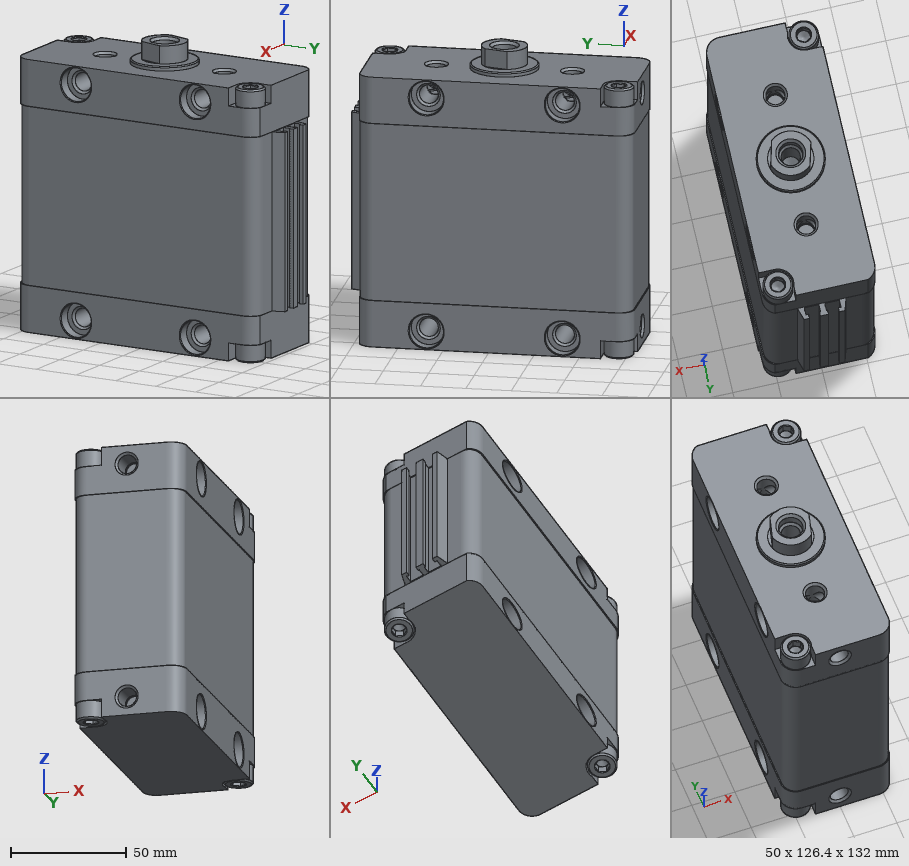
import cadquery as cq
import math

TOTAL_HEIGHT = 132.0
CAP_HEIGHT = 21.0
BARREL_HEIGHT = 80.0
CAP_WIDTH = 50.0
CAP_REACH_Y = 60.7
RAIL_TOP_Y = 65.7
BARREL_INSET = 0.5
CORNER_RADIUS = 7.0

CAP_LENGTH = 2 * CAP_REACH_Y
BARREL_WIDTH = CAP_WIDTH - 2 * BARREL_INSET
BARREL_REACH_Y = CAP_REACH_Y - BARREL_INSET
CAP_BACK_Y = BARREL_REACH_Y
BARREL_TOP = CAP_HEIGHT + BARREL_HEIGHT
BODY_TOP = BARREL_TOP + CAP_HEIGHT

ROD_DIAMETER = 20.0
ROD_FLATS_WIDTH = 17.0
ROD_FLATS_ANGLE = -15.0
ROD_BORE_DIAMETER = 10.5
ROD_BORE_MOUTH = 13.0
ROD_BORE_DEPTH = 4.8
ROD_TAP_DEPTH = 19.8
COLLAR_DIAMETER = 30.0
COLLAR_HEIGHT = 2.0
COLLAR_CHAMFER = 0.5

TAP_DIAMETER = 8.3
TAP_MOUTH = 10.4
TAP_DEPTH = 12.5
TAP_CORE_DIAMETER = 7.5
TAP_CORE_DEPTH = 13.2
HOLE_SPACING_Y = 59.9
HOLE_INSET_Z = 8.3
COUNTERBORE_DIAMETER = 15.0
COUNTERBORE_DEPTH = 5.5
COUNTERBORE_CHAMFER = 0.4

HEAD_DIAMETER = 13.0
HEAD_TOP_DIAMETER = 11.5
HEAD_HEIGHT = 8.0
SOCKET_ACROSS_FLATS = 6.0
SOCKET_DEPTH = 4.0
SOCKET_TURN = 30.0
POCKET_RADIUS = 7.0
POCKET_WALL_X = 6.6
SCREW_X = CAP_WIDTH / 2 - CORNER_RADIUS
SCREW_Y = CAP_REACH_Y - CORNER_RADIUS
DRILL_POINT_ANGLE = 118.0

RAIL_FLOOR_RISE = 0.4
RAIL_LEG_BASE_X = 10.8
RAIL_LEG_TOP_X = 9.1
RAIL_LEG_INNER_X = 7.8
RAIL_LIP_X = 6.6
RAIL_LIP_HEIGHT = 2.0
RAIL_TEE_HEAD_X = 1.8
RAIL_TEE_NECK_X = 1.3


def drill_point_height(diameter):
    """Height of the cone that a drill leaves at the end of a blind hole."""
    return diameter / 2 / math.tan(math.radians(DRILL_POINT_ANGLE / 2))


def cylinder(diameter, height, bottom=0.0):
    """Upright cylinder on the Z axis."""
    return cq.Workplane("XY").workplane(offset=bottom).circle(diameter / 2).extrude(height)


def rounded_block(width, length, radius, height):
    """Upright block centred on the Z axis with rounded vertical edges."""
    return cq.Workplane("XY").rect(width, length).extrude(height).edges("|Z").fillet(radius)


def countersink(mouth, hole):
    """45 degree cone from a mouth at Z = 0 down to the hole diameter."""
    depth = (mouth - hole) / 2
    return cq.Workplane(cq.Solid.makeCone(mouth / 2, hole / 2, depth, dir=cq.Vector(0, 0, -1)))


def tapped_hole():
    """Blind hole going down from Z = 0: chamfered mouth, thread and a narrower core end."""
    thread = cylinder(TAP_DIAMETER, TAP_DEPTH, -TAP_DEPTH)
    core = cylinder(TAP_CORE_DIAMETER, TAP_CORE_DEPTH, -TAP_CORE_DEPTH)
    return thread.union(core).union(countersink(TAP_MOUTH, TAP_DIAMETER))


def mounting_hole():
    """Through hole along +X from X = 0, counterbored and chamfered at both ends."""
    half_width = CAP_WIDTH / 2
    floor = half_width - COUNTERBORE_DEPTH
    profile = [
        (0, 0),
        (TAP_DIAMETER / 2, 0),
        (TAP_DIAMETER / 2, floor - (TAP_MOUTH - TAP_DIAMETER) / 2),
        (TAP_MOUTH / 2, floor),
        (COUNTERBORE_DIAMETER / 2, floor),
        (COUNTERBORE_DIAMETER / 2, half_width - COUNTERBORE_CHAMFER),
        (COUNTERBORE_DIAMETER / 2 + COUNTERBORE_CHAMFER, half_width),
        (0, half_width),
    ]
    half = cq.Workplane("XZ").polyline(profile).close().revolve(360, (0, 0), (0, 1))
    return half.union(half.mirror("XY")).rotate((0, 0, 0), (0, 1, 0), 90)


def screw_pocket():
    """Pocket below Z = 0 for the +X +Y corner, open to both sides of the corner."""
    reach = 2 * CORNER_RADIUS
    pocket = cylinder(2 * POCKET_RADIUS, HEAD_HEIGHT, -HEAD_HEIGHT)
    to_back = cq.Workplane("XY").box(reach, reach, HEAD_HEIGHT, centered=False)
    to_back = to_back.translate((-POCKET_WALL_X, 0, -HEAD_HEIGHT))
    to_side = cq.Workplane("XY").box(reach, reach, HEAD_HEIGHT, centered=False)
    to_side = to_side.translate((0, -POCKET_RADIUS, -HEAD_HEIGHT))
    return pocket.union(to_back).union(to_side)


def screw_head():
    """Socket head below Z = 0 with a hexagon recess that ends in a drill point."""
    head = cylinder(HEAD_DIAMETER, HEAD_HEIGHT, -HEAD_HEIGHT)
    head = head.faces(">Z").chamfer((HEAD_DIAMETER - HEAD_TOP_DIAMETER) / 2)
    corner_diameter = SOCKET_ACROSS_FLATS / math.cos(math.pi / 6)
    socket = cq.Workplane("XY").polygon(6, corner_diameter).extrude(-SOCKET_DEPTH)
    socket = socket.rotate((0, 0, 0), (0, 0, 1), SOCKET_TURN)
    socket = socket.union(countersink(corner_diameter, SOCKET_ACROSS_FLATS))
    point = cq.Solid.makeCone(
        SOCKET_ACROSS_FLATS / 2, 0, drill_point_height(SOCKET_ACROSS_FLATS), dir=cq.Vector(0, 0, -1)
    ).translate(cq.Vector(0, 0, -SOCKET_DEPTH))
    return head.cut(socket).cut(cq.Workplane(point))


def cap():
    """End cap with its outer face at Z = CAP_HEIGHT, screw heads included."""
    body = rounded_block(CAP_WIDTH, CAP_LENGTH, CORNER_RADIUS, CAP_HEIGHT)
    trim = cq.Workplane("XY").box(CAP_WIDTH, CAP_LENGTH, CAP_HEIGHT, centered=(True, False, False))
    body = body.cut(trim.translate((0, CAP_BACK_Y, 0)))

    hole_z = CAP_HEIGHT - HOLE_INSET_Z
    for y in (-HOLE_SPACING_Y / 2, HOLE_SPACING_Y / 2):
        body = body.cut(mounting_hole().translate((0, y, hole_z)))

    air_port = tapped_hole().rotate((0, 0, 0), (1, 0, 0), 90)
    body = body.cut(air_port.translate((0, -CAP_REACH_Y, hole_z)))

    pocket = screw_pocket().translate((SCREW_X, SCREW_Y, CAP_HEIGHT))
    head = screw_head().translate((SCREW_X, SCREW_Y, CAP_HEIGHT))
    for turn in (0, 180):
        body = body.cut(pocket.rotate((0, 0, 0), (0, 0, 1), turn))
        body = body.union(head.rotate((0, 0, 0), (0, 0, 1), turn))
    return body


def bottom_cap():
    """Lower cap with its outer face at Z = 0."""
    return cap().mirror("XY").translate((0, 0, CAP_HEIGHT))


def top_cap():
    """Upper cap with two tapped holes on top and the collar that guides the rod."""
    body = cap().translate((0, 0, BARREL_TOP))
    for y in (-HOLE_SPACING_Y / 2, HOLE_SPACING_Y / 2):
        body = body.cut(tapped_hole().translate((0, y, BODY_TOP)))
    collar = cylinder(COLLAR_DIAMETER, COLLAR_HEIGHT, BODY_TOP).faces(">Z").chamfer(COLLAR_CHAMFER)
    return body.union(collar).cut(cylinder(ROD_DIAMETER, TOTAL_HEIGHT))


def barrel():
    """Barrel between the caps with the sensor rail along its +Y face."""
    radius = CORNER_RADIUS - BARREL_INSET
    body = rounded_block(BARREL_WIDTH, 2 * BARREL_REACH_Y, radius, BARREL_HEIGHT)
    lip_y = RAIL_TOP_Y - RAIL_LIP_HEIGHT
    root_y = BARREL_REACH_Y - BARREL_INSET
    tee = [
        (-RAIL_TEE_HEAD_X, RAIL_TOP_Y),
        (RAIL_TEE_HEAD_X, RAIL_TOP_Y),
        (RAIL_TEE_HEAD_X, lip_y),
        (RAIL_TEE_NECK_X, lip_y),
        (RAIL_TEE_NECK_X, root_y),
        (-RAIL_TEE_NECK_X, root_y),
        (-RAIL_TEE_NECK_X, lip_y),
        (-RAIL_TEE_HEAD_X, lip_y),
    ]
    leg = [
        (RAIL_LIP_X, RAIL_TOP_Y),
        (RAIL_LEG_TOP_X, RAIL_TOP_Y),
        (RAIL_LEG_BASE_X, BARREL_REACH_Y),
        (RAIL_LEG_BASE_X, root_y),
        (RAIL_LEG_INNER_X, root_y),
        (RAIL_LEG_INNER_X, lip_y),
        (RAIL_LIP_X, lip_y),
    ]
    floor_height = BARREL_REACH_Y + RAIL_FLOOR_RISE - root_y
    floor = cq.Workplane("XY").box(
        2 * RAIL_LEG_INNER_X, floor_height, BARREL_HEIGHT, centered=(True, False, False)
    )
    body = body.union(floor.translate((0, root_y, 0)))
    right_leg = cq.Workplane("XY").polyline(leg).close().extrude(BARREL_HEIGHT)
    body = body.union(cq.Workplane("XY").polyline(tee).close().extrude(BARREL_HEIGHT))
    body = body.union(right_leg).union(right_leg.mirror("YZ"))
    return body.translate((0, 0, CAP_HEIGHT))


def piston_rod():
    """Rod through the top cap with two wrench flats and a bore that steps down to a tapped hole."""
    rod = cylinder(ROD_DIAMETER, TOTAL_HEIGHT - BARREL_TOP, BARREL_TOP)
    flats_bottom = BODY_TOP + COLLAR_HEIGHT
    flats_height = TOTAL_HEIGHT - flats_bottom
    keep = cq.Workplane("XY").box(ROD_FLATS_WIDTH, ROD_DIAMETER, flats_height, centered=(True, True, False))
    keep = keep.rotate((0, 0, 0), (0, 0, 1), ROD_FLATS_ANGLE).translate((0, 0, flats_bottom))
    rod = rod.cut(cylinder(ROD_DIAMETER, flats_height, flats_bottom).cut(keep))

    mouth_depth = (ROD_BORE_MOUTH - ROD_BORE_DIAMETER) / 2
    step_depth = (TAP_MOUTH - TAP_DIAMETER) / 2
    bore = [
        (0, 0),
        (ROD_BORE_MOUTH / 2, 0),
        (ROD_BORE_DIAMETER / 2, -mouth_depth),
        (ROD_BORE_DIAMETER / 2, -ROD_BORE_DEPTH),
        (TAP_MOUTH / 2, -ROD_BORE_DEPTH),
        (TAP_DIAMETER / 2, -ROD_BORE_DEPTH - step_depth),
        (TAP_DIAMETER / 2, -ROD_TAP_DEPTH),
        (0, -ROD_TAP_DEPTH - drill_point_height(TAP_DIAMETER)),
    ]
    bore = cq.Workplane("XZ").polyline(bore).close().revolve(360, (0, 0), (0, 1))
    return rod.cut(bore.translate((0, 0, TOTAL_HEIGHT)))


result = cq.Compound.makeCompound(
    [bottom_cap().val(), barrel().val(), top_cap().val(), piston_rod().val()]
)